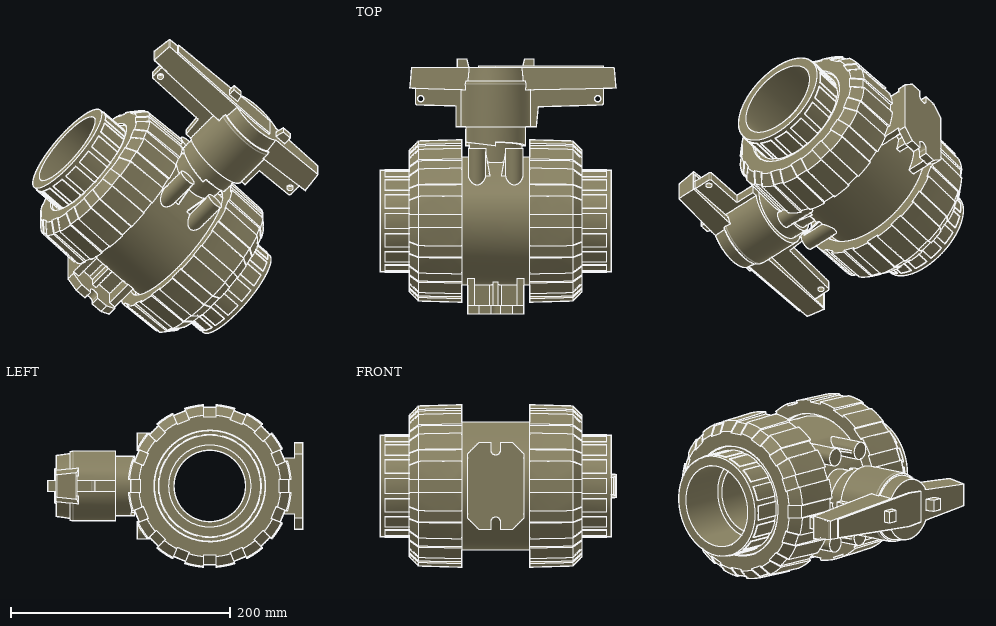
import cadquery as cq


BODY_D = 117.0
BODY_HALF_LENGTH = 30.9
BALL_BORE_D = 65.0
SOCKET_D = 75.0
SOCKET_DEPTH = 44.0

PIPE_D = 92.9
PIPE_END_X = 105.5
PAD_COUNT = 16
PAD_WIDTH = 13.3
PAD_HEIGHT = 0.6
PAD_END_X = 101.1
COLLAR_D = 101.0

NUT_R = 74.5
NUT_DRAFT_R = 73.4
NUT_END_R = 64.7
NUT_CHAMFER_X = 70.4
NUT_END_X = 79.0
NUT_HOLE_D = 102.0
NUT_RECESS = 2.0
COLLAR_GAP_DEPTH = 3.0
NUT_BORE_D = 123.3
NUT_BORE_DEPTH = 6.0
GROOVE_COUNT = 16
GROOVE_WIDTH = 11.8
GROOVE_R = 72.2
GROOVE_DRAFT_R = 71.8
GROOVE_END_R = 63.1

NECK_D = 48.4
NECK_ROOT_Y = 40.0
SKIRT_D = 54.7
SKIRT_BOTTOM_Y = 68.6
TOOTH_COUNT = 4
TOOTH_HEIGHT = 3.4

BOSS_D = 16.0
BOSS_X = 17.0
BOSS_Z = 40.4
BOSS_TOP_Y = 66.3
BOSS_ROOT_Y = 29.0
GUSSET_THICKNESS = 2.2
GUSSET_BOTTOM_Y = 41.2
GUSSET_BOTTOM_X = 5.2
GUSSET_SIDE_RUN = 4.5

HUB_D = 64.0
HUB_BOTTOM_Y = 85.9
HUB_TOP_Y = 127.7
HUB_EDGE_DROP = 2.7
HUB_EDGE_INSET = 0.7
CAP_BASE_R = 29.8
CAP_TOP_R = 28.0
BAR_TOP_Y = 140.2

BAR_LEFT_X = -78.3
BAR_RIGHT_X = 110.2
BAR_END_DRAFT = 1.4
BAR_LIP = 0.4
BAR_LIP_Y = 122.6
BAR_TOP_BREAK = 1.2
BAR_TOP_BREAK_INSET = 0.4
BAR_TIP_BOTTOM_Y = 121.2
BAR_HUB_BOTTOM_Y = 119.6
BAR_HUB_X = 27.0
BAR_HALF_WIDTH = 18.6
BAR_LEFT_HALF_WIDTH = 12.4
BAR_RIGHT_HALF_WIDTH = 10.8
BAR_DRAFT_ANGLE = 6.5
BAR_PLAN_OVERRUN = 10.0
BAR_WALL = 1.4
BAR_HOLLOW_WIDTH = 18.6
BAR_ROOF = 3.0
STRIP_LEFT_X = -15.7
STRIP_HEIGHT = 1.4
STRIP_INSET = 0.4

WEB_THICKNESS = 10.4
WEB_LEFT_X = -73.3
WEB_RIGHT_X = 98.4
WEB_TIP_BOTTOM_Y = 105.8
WEB_LEFT_BOTTOM_Y = 104.9
WEB_RIGHT_BOTTOM_Y = 104.1
WEB_CORNER_R = 1.8
FLANGE_LEFT_X = -36.3
FLANGE_RIGHT_X = 37.2
FLANGE_RIGHT_TOP_X = 39.0
LOCK_HOLE_D = 5.5
LOCK_HOLE_X = (-68.4, 93.1)
LOCK_HOLE_Y = 111.6
LUG_TOP_Y = 147.9
LUG_OUTER_X = 35.1
LUG_TOP_WIDTH = 8.8
LUG_BASE_WIDTH = 10.8

FOOT_WIDTH = 51.4
FOOT_HEIGHT = 79.2
FOOT_CORNER = 10.3
FOOT_BOTTOM_Y = -84.93
FOOT_TOP_Y = -77.3
SLOT_WIDTH = 8.7
SLOT_DEPTH = 11.3
PEDESTAL_ROOT_Y = -44.0
PEDESTAL_HEIGHT = 51.2
PEDESTAL_WALL = 6.4
PEDESTAL_BOSS_D = 13.6
PEDESTAL_RIB_WIDTH = 4.6
PEDESTAL_RIB_HEIGHT = 35.6
PEDESTAL_WEB_THICKNESS = 8.0


def rod_x(diameter, x_start, x_end):
    """Round bar on the flow axis."""
    return cq.Workplane("YZ", origin=(x_start, 0, 0)).circle(diameter / 2).extrude(x_end - x_start)


def rod_y(diameter, y_start, y_end, x=0.0, z=0.0):
    """Round bar parallel to the stem axis."""
    plane = cq.Plane(origin=(x, y_start, z), xDir=(1, 0, 0), normal=(0, 1, 0))
    return cq.Workplane(plane).circle(diameter / 2).extrude(y_end - y_start)


def block(x_start, x_end, y_start, y_end, height):
    """Box that is centred on Z = 0."""
    outline = cq.Workplane("XY").moveTo((x_start + x_end) / 2, (y_start + y_end) / 2)
    return outline.rect(x_end - x_start, y_end - y_start).extrude(height / 2, both=True)


def slab(points, thickness):
    """XY outline extruded to both sides of Z = 0."""
    return cq.Workplane("XY").polyline(points).close().extrude(thickness / 2, both=True)


def ring_of(shape, count):
    """Joined copies of a shape, evenly turned about the flow axis."""
    copies = cq.Workplane("XY")
    for i in range(count):
        copies = copies.add(shape.rotate((0, 0, 0), (1, 0, 0), i * 360.0 / count))
    return copies.combine()


def with_mirror(shape, plane):
    """The shape joined with its mirror image."""
    return shape.union(shape.mirror(plane))


def union_nut():
    """Nut on the +X side, with grooves for grip."""
    profile = [
        (BODY_HALF_LENGTH, 0),
        (BODY_HALF_LENGTH, NUT_R),
        (NUT_CHAMFER_X, NUT_DRAFT_R),
        (NUT_END_X, NUT_END_R),
        (NUT_END_X, 0),
    ]
    nut = cq.Workplane("XY").polyline(profile).close().revolve(360, (0, 0, 0), (1, 0, 0))
    groove = slab(
        [
            (BODY_HALF_LENGTH, GROOVE_R),
            (NUT_CHAMFER_X, GROOVE_DRAFT_R),
            (NUT_END_X, GROOVE_END_R),
            (NUT_END_X, NUT_R),
            (BODY_HALF_LENGTH, NUT_R),
        ],
        GROOVE_WIDTH,
    )
    nut = nut.cut(ring_of(groove, GROOVE_COUNT))
    bore_end_x = BODY_HALF_LENGTH + NUT_BORE_DEPTH
    gap = rod_x(NUT_BORE_D, BODY_HALF_LENGTH, bore_end_x).cut(rod_x(BODY_D, BODY_HALF_LENGTH, bore_end_x))
    nut = nut.cut(gap)
    collar_x = NUT_END_X - NUT_RECESS
    nut = nut.cut(rod_x(NUT_HOLE_D, collar_x - COLLAR_GAP_DEPTH, NUT_END_X))
    return nut.union(rod_x(COLLAR_D, collar_x - COLLAR_GAP_DEPTH, collar_x))


def pipe_end():
    """Pipe socket on the +X side, with raised pads."""
    pad_start_x = NUT_CHAMFER_X
    pads = rod_x(PIPE_D + 2 * PAD_HEIGHT, pad_start_x, PAD_END_X)
    pads = pads.intersect(ring_of(block(pad_start_x, PAD_END_X, 0, NUT_R, PAD_WIDTH), PAD_COUNT))
    return rod_x(PIPE_D, BODY_HALF_LENGTH, PIPE_END_X).union(pads)


def bores():
    """Through bore with a socket at each end."""
    socket = rod_x(SOCKET_D, PIPE_END_X - SOCKET_DEPTH, PIPE_END_X)
    return with_mirror(socket, "YZ").union(rod_x(BALL_BORE_D, -PIPE_END_X, PIPE_END_X))


def neck():
    """Stem neck with a skirt that ends in sloped teeth."""
    skirt = rod_y(SKIRT_D, SKIRT_BOTTOM_Y, HUB_BOTTOM_Y)
    reach = SKIRT_D / 2
    tooth_gap = (
        cq.Workplane("YZ")
        .polyline([(SKIRT_BOTTOM_Y, 0), (SKIRT_BOTTOM_Y, reach), (SKIRT_BOTTOM_Y + TOOTH_HEIGHT, reach)])
        .close()
        .extrude(reach)
    )
    for i in range(TOOTH_COUNT):
        skirt = skirt.cut(tooth_gap.rotate((0, 0, 0), (0, 1, 0), i * 360.0 / TOOTH_COUNT))
    return skirt.union(rod_y(NECK_D, NECK_ROOT_Y, HUB_BOTTOM_Y))


def bosses():
    """Four bosses beside the neck, each with a gusset toward the stem."""
    boss = rod_y(BOSS_D, BOSS_ROOT_Y, BOSS_TOP_Y, BOSS_X, BOSS_Z)
    gusset = slab(
        [
            (BOSS_X, GUSSET_BOTTOM_Y),
            (GUSSET_BOTTOM_X, GUSSET_BOTTOM_Y),
            (GUSSET_BOTTOM_X + GUSSET_SIDE_RUN, BOSS_TOP_Y),
            (BOSS_X, BOSS_TOP_Y),
        ],
        GUSSET_THICKNESS,
    ).translate((0, 0, BOSS_Z))
    return with_mirror(with_mirror(boss.union(gusset), "YZ"), "XY")


def hub():
    """Round handle hub with a conical cap."""
    drum = rod_y(HUB_D, HUB_BOTTOM_Y, HUB_TOP_Y).faces(">Y").chamfer(HUB_EDGE_DROP, HUB_EDGE_INSET)
    cap_profile = [(0, HUB_TOP_Y), (CAP_BASE_R, HUB_TOP_Y), (CAP_TOP_R, BAR_TOP_Y), (0, BAR_TOP_Y)]
    cap = cq.Workplane("XY").polyline(cap_profile).close().revolve(360, (0, 0, 0), (0, 1, 0))
    return drum.union(cap)


def bar_plan(inset, height):
    """Drafted bar that is widest at the stem; `inset` moves its sides inward."""
    plane = cq.Plane(origin=(0, BAR_HUB_BOTTOM_Y, 0), xDir=(1, 0, 0), normal=(0, 1, 0))
    left_x = BAR_LEFT_X - BAR_PLAN_OVERRUN
    right_x = BAR_RIGHT_X + BAR_PLAN_OVERRUN
    left_slope = (BAR_HALF_WIDTH - BAR_LEFT_HALF_WIDTH) / BAR_LEFT_X
    right_slope = (BAR_HALF_WIDTH - BAR_RIGHT_HALF_WIDTH) / BAR_RIGHT_X
    middle = BAR_HALF_WIDTH - inset
    left = middle - left_slope * left_x
    right = middle - right_slope * right_x
    near_side = [(left_x, left), (0, middle), (right_x, right)]
    far_side = [(x, -half_width) for x, half_width in reversed(near_side)]
    points = near_side + far_side
    return cq.Workplane(plane).polyline(points).close().extrude(height, taper=BAR_DRAFT_ANGLE)


def handle_bar():
    """Drafted bar, hollow on the side toward the body."""
    height = BAR_TOP_Y - BAR_HUB_BOTTOM_Y
    side = slab(
        [
            (BAR_LEFT_X + BAR_END_DRAFT + BAR_TOP_BREAK_INSET, BAR_TOP_Y),
            (BAR_LEFT_X + BAR_END_DRAFT, BAR_TOP_Y - BAR_TOP_BREAK),
            (BAR_LEFT_X, BAR_LIP_Y),
            (BAR_LEFT_X - BAR_LIP, BAR_TIP_BOTTOM_Y),
            (-BAR_HUB_X, BAR_HUB_BOTTOM_Y),
            (BAR_HUB_X, BAR_HUB_BOTTOM_Y),
            (BAR_RIGHT_X, BAR_TIP_BOTTOM_Y),
            (BAR_RIGHT_X - BAR_LIP, BAR_LIP_Y),
            (BAR_RIGHT_X - BAR_LIP - BAR_END_DRAFT, BAR_TOP_Y - BAR_TOP_BREAK),
            (BAR_RIGHT_X - BAR_LIP - BAR_END_DRAFT - BAR_TOP_BREAK_INSET, BAR_TOP_Y),
        ],
        2 * BAR_HALF_WIDTH,
    )
    hollow_side = slab(
        [
            (BAR_LEFT_X + BAR_WALL, BAR_HUB_BOTTOM_Y),
            (BAR_LEFT_X + BAR_WALL + BAR_END_DRAFT, BAR_TOP_Y - BAR_ROOF),
            (BAR_RIGHT_X - BAR_WALL - BAR_END_DRAFT, BAR_TOP_Y - BAR_ROOF),
            (BAR_RIGHT_X - BAR_WALL, BAR_HUB_BOTTOM_Y),
        ],
        BAR_HOLLOW_WIDTH,
    )
    hollow = bar_plan(BAR_WALL, height - BAR_ROOF).intersect(hollow_side)
    return bar_plan(0, height).intersect(side).cut(hollow)


def top_strip():
    """Low strip along the top of the bar."""
    plan = bar_plan(STRIP_INSET, BAR_TOP_Y - BAR_HUB_BOTTOM_Y + STRIP_HEIGHT)
    strip_top_y = BAR_TOP_Y + STRIP_HEIGHT
    span = block(STRIP_LEFT_X, WEB_RIGHT_X, BAR_TOP_Y - BAR_ROOF, strip_top_y, 2 * BAR_HALF_WIDTH)
    return plan.intersect(span)


def web():
    """Flat web inside the bar, with a flange around the hub, lock holes and two lugs on top."""
    roof_y = BAR_TOP_Y - BAR_ROOF
    plate = slab(
        [
            (WEB_LEFT_X, roof_y),
            (WEB_LEFT_X, WEB_TIP_BOTTOM_Y),
            (FLANGE_LEFT_X, WEB_LEFT_BOTTOM_Y),
            (FLANGE_RIGHT_TOP_X, WEB_RIGHT_BOTTOM_Y),
            (WEB_RIGHT_X, WEB_TIP_BOTTOM_Y),
            (WEB_RIGHT_X, roof_y),
        ],
        WEB_THICKNESS,
    )
    for x in (WEB_LEFT_X, WEB_RIGHT_X):
        tip = cq.selectors.NearestToPointSelector((x, WEB_TIP_BOTTOM_Y, 0))
        plate = plate.edges(tip).fillet(WEB_CORNER_R)
    flange = slab(
        [
            (FLANGE_LEFT_X, WEB_TIP_BOTTOM_Y),
            (FLANGE_LEFT_X, HUB_BOTTOM_Y),
            (FLANGE_RIGHT_X, HUB_BOTTOM_Y),
            (FLANGE_RIGHT_TOP_X, WEB_RIGHT_BOTTOM_Y),
            (FLANGE_RIGHT_TOP_X, WEB_TIP_BOTTOM_Y),
        ],
        WEB_THICKNESS,
    )
    lug = slab(
        [
            (LUG_OUTER_X, roof_y),
            (LUG_OUTER_X, LUG_TOP_Y),
            (LUG_OUTER_X - LUG_TOP_WIDTH, LUG_TOP_Y),
            (LUG_OUTER_X - LUG_BASE_WIDTH, BAR_TOP_Y),
            (LUG_OUTER_X - LUG_BASE_WIDTH, roof_y),
        ],
        WEB_THICKNESS,
    )
    holes = cq.Workplane("XY").pushPoints([(x, LOCK_HOLE_Y) for x in LOCK_HOLE_X])
    holes = holes.circle(LOCK_HOLE_D / 2).extrude(WEB_THICKNESS, both=True)
    return plate.union(flange).union(with_mirror(lug, "YZ")).cut(holes)


def mounting_foot():
    """Slotted foot plate on a ribbed pedestal below the body."""
    plane = cq.Plane(origin=(0, FOOT_BOTTOM_Y, 0), xDir=(1, 0, 0), normal=(0, 1, 0))
    plate = cq.Workplane(plane).rect(FOOT_WIDTH, FOOT_HEIGHT).extrude(FOOT_TOP_Y - FOOT_BOTTOM_Y)
    plate = plate.edges("|Y").chamfer(FOOT_CORNER)
    slot_end_z = FOOT_HEIGHT / 2 - SLOT_DEPTH + SLOT_WIDTH / 2
    slot = (
        cq.Workplane(plane)
        .center(0, slot_end_z + SLOT_DEPTH)
        .slot2D(2 * SLOT_DEPTH + SLOT_WIDTH, SLOT_WIDTH, 90)
        .extrude(FOOT_TOP_Y - FOOT_BOTTOM_Y)
    )
    plate = plate.cut(with_mirror(slot, "XY"))
    half_width = FOOT_WIDTH / 2
    wall = block(half_width - PEDESTAL_WALL, half_width, FOOT_TOP_Y, PEDESTAL_ROOT_Y, PEDESTAL_HEIGHT)
    rib_x = PEDESTAL_RIB_WIDTH / 2
    rib = block(-rib_x, rib_x, FOOT_TOP_Y, PEDESTAL_ROOT_Y, PEDESTAL_RIB_HEIGHT)
    cross_web = block(-half_width, half_width, FOOT_TOP_Y, PEDESTAL_ROOT_Y, PEDESTAL_WEB_THICKNESS)
    post = rod_y(PEDESTAL_BOSS_D, FOOT_TOP_Y, PEDESTAL_ROOT_Y)
    return plate.union(with_mirror(wall, "YZ")).union(rib).union(cross_web).union(post)


body = rod_x(BODY_D, -BODY_HALF_LENGTH, BODY_HALF_LENGTH)
ends = with_mirror(union_nut().union(pipe_end()), "YZ")
handle = hub().union(handle_bar()).union(top_strip()).union(web())
valve = body.union(ends).union(neck()).union(bosses()).union(mounting_foot()).union(handle)
result = valve.cut(bores())